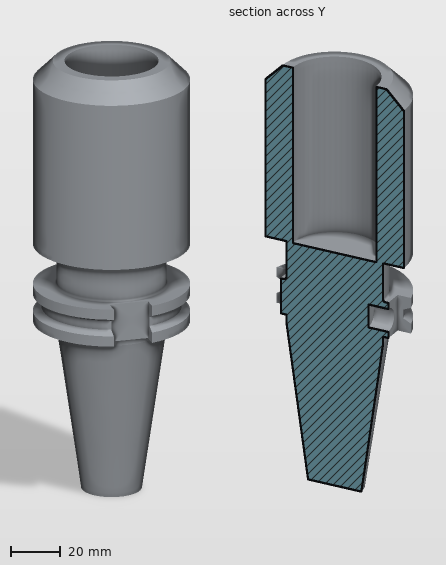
import cadquery as cq
import math

total_height = 182.5
barrel_radius = 31.8

barrel_bottom = 104.2
barrel_chamfer = 8.0
bore_radius = 19.0
bore_depth = total_height - barrel_bottom

neck_radius = 22.3
neck_fillet = 1.0

flange_radius = barrel_radius
flange_bottom = 71.4
flange_height = 15.9
flange_top = flange_bottom + flange_height
land_height = 4.4
groove_floor_radius = 28.3
groove_flank_height = 1.6

gauge_radius = 22.3
taper_length = 68.5
taper_ratio = 7 / 24
tip_radius = gauge_radius - taper_length * taper_ratio / 2

slot_width = 16.0
slot_floor_distance = 24.6
hole_diameter = 10.0
hole_depth = 9.1


def revolved_body():
    """Revolve the half section, listed as (radius, height) from the tip upwards."""
    lower_land_top = flange_bottom + land_height
    upper_land_bottom = flange_top - land_height
    below_neck = [
        (0, 0),
        (tip_radius, 0),
        (gauge_radius, taper_length),
        (gauge_radius, flange_bottom),
        (flange_radius, flange_bottom),
        (flange_radius, lower_land_top),
        (groove_floor_radius, lower_land_top + groove_flank_height),
        (groove_floor_radius, upper_land_bottom - groove_flank_height),
        (flange_radius, upper_land_bottom),
        (flange_radius, flange_top),
        (neck_radius + neck_fillet, flange_top),
    ]
    fillet_inset = neck_fillet * (1 - math.sqrt(0.5))
    fillet_middle = (neck_radius + fillet_inset, flange_top + fillet_inset)
    fillet_end = (neck_radius, flange_top + neck_fillet)
    above_neck = [
        (neck_radius, barrel_bottom),
        (barrel_radius, barrel_bottom),
        (barrel_radius, total_height - barrel_chamfer),
        (barrel_radius - barrel_chamfer, total_height),
        (0, total_height),
    ]
    return (
        cq.Workplane("XZ")
        .polyline(below_neck)
        .threePointArc(fillet_middle, fillet_end)
        .polyline(above_neck, includeCurrent=True)
        .close()
        .revolve(360, (0, 0), (0, 1))
    )


def bore():
    """Blind bore opening at the top of the barrel."""
    return (
        cq.Workplane("XY")
        .workplane(offset=total_height - bore_depth)
        .circle(bore_radius)
        .extrude(bore_depth)
    )


def drive_slot(side):
    """Slot through the full flange height; side is -1 for -X and +1 for +X."""
    slot_length = flange_radius - slot_floor_distance
    return (
        cq.Workplane("XY")
        .workplane(offset=flange_bottom)
        .center(side * (slot_floor_distance + slot_length / 2), 0)
        .rect(slot_length, slot_width)
        .extrude(flange_height)
    )


def slot_hole():
    """Radial blind hole at mid flange height, running inwards from the -X slot floor."""
    return (
        cq.Workplane("YZ")
        .workplane(offset=-slot_floor_distance)
        .center(0, flange_bottom + flange_height / 2)
        .circle(hole_diameter / 2)
        .extrude(hole_depth)
    )


result = revolved_body().cut(bore())
for side in (-1, 1):
    result = result.cut(drive_slot(side))
result = result.cut(slot_hole())